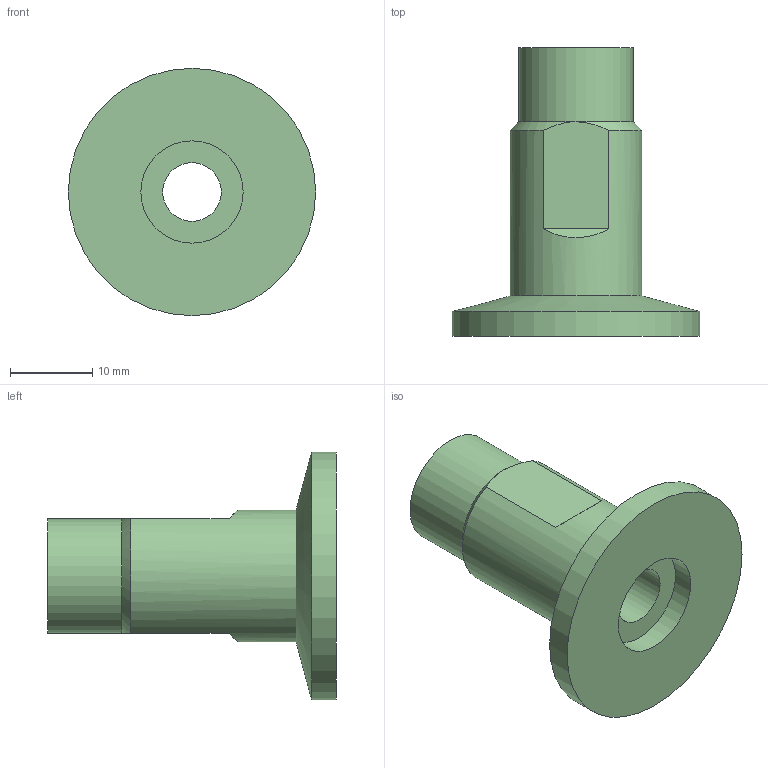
import cadquery as cq
import math

total_length = 35.0
flange_diameter = 30.0
flange_rim_thickness = 3.0
flange_back_angle = 15.0
body_diameter = 16.0
spigot_diameter = 13.9
spigot_length = 9.0

bore_diameter = 7.1
counterbore_diameter = 12.4
counterbore_depth = 2.6

flat_distance = spigot_diameter
flat_start = 13.0

flange_radius = flange_diameter / 2
body_radius = body_diameter / 2
spigot_radius = spigot_diameter / 2
shoulder_step = body_radius - spigot_radius
cone_length = (flange_radius - body_radius) * math.tan(math.radians(flange_back_angle))
cone_end = flange_rim_thickness + cone_length
spigot_start = total_length - spigot_length


def make_turned_body():
    """Revolve the outer half profile about the Y axis."""
    profile = (
        cq.Workplane("XY")
        .moveTo(0, 0)
        .lineTo(flange_radius, 0)
        .lineTo(flange_radius, flange_rim_thickness)
        .lineTo(body_radius, cone_end)
        .lineTo(body_radius, spigot_start - shoulder_step)
        .lineTo(spigot_radius, spigot_start)
        .lineTo(spigot_radius, total_length)
        .lineTo(0, total_length)
        .close()
    )
    return profile.revolve(360, (0, 0, 0), (0, 1, 0))


def make_flat_cutter():
    """Prism that cuts the flat on the +Z side, including its 45 degree run-out."""
    flat_height = flat_distance / 2
    ramp = body_radius - flat_height
    return (
        cq.Workplane("YZ")
        .moveTo(flat_start, flat_height)
        .lineTo(spigot_start, flat_height)
        .lineTo(spigot_start, body_radius)
        .lineTo(flat_start - ramp, body_radius)
        .close()
        .extrude(body_radius, both=True)
    )


def make_hole(diameter, depth):
    """Cylinder along +Y starting at the flange face."""
    return cq.Workplane("XZ").circle(diameter / 2).extrude(-depth)


flat_cutter = make_flat_cutter()
result = make_turned_body()
for cutter in (flat_cutter, flat_cutter.mirror("XY")):
    result = result.cut(cutter)
result = result.cut(make_hole(bore_diameter, total_length))
result = result.cut(make_hole(counterbore_diameter, counterbore_depth))